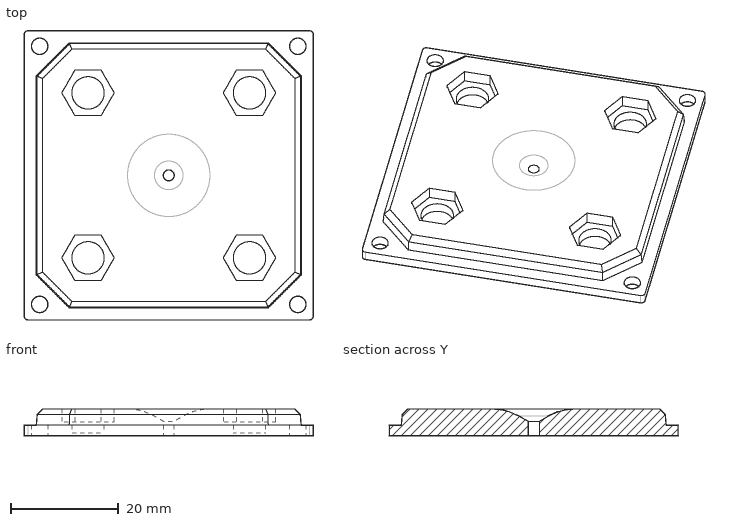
import cadquery as cq
import math

plate_side = 53.8
plate_thickness = 2.0
plate_corner_radius = 0.75
mount_hole_diameter = 3.0
mount_hole_offset = 24.0

total_height = 5.0
pad_side = 49.3
pad_corner_cut = 6.15
bevel_height = 1.0
wall_draft = 5
bevel_angle = 45

pocket_spacing_x = 30.0
pocket_spacing_y = 30.65
hex_across_flats = 8.45
hex_depth = 2.5
recess_diameter = 6.0
recess_floor_thickness = 0.5

drain_diameter = 2.0
cone_mouth_diameter = 5.3
cone_slope = math.radians(30)
flare_radius = 10.0


def make_plate():
    plate = cq.Workplane("XY").rect(plate_side, plate_side).extrude(plate_thickness)
    plate = plate.edges("|Z").fillet(plate_corner_radius)
    holes = (
        cq.Workplane("XY")
        .rect(2 * mount_hole_offset, 2 * mount_hole_offset, forConstruction=True)
        .vertices()
        .circle(mount_hole_diameter / 2)
        .extrude(plate_thickness)
    )
    return plate.cut(holes)


def make_pad():
    wall_height = total_height - plate_thickness - bevel_height
    pad = (
        cq.Workplane("XY", origin=(0, 0, plate_thickness))
        .sketch()
        .rect(pad_side, pad_side)
        .vertices()
        .chamfer(pad_corner_cut)
        .finalize()
        .extrude(wall_height, taper=wall_draft)
    )
    bevel = pad.faces(">Z").wires().toPending().extrude(bevel_height, taper=bevel_angle, combine=False)
    return pad.union(bevel)


def make_pockets():
    hex_across_corners = hex_across_flats / math.cos(math.pi / 6)
    hex_floor = total_height - hex_depth
    centres = [
        (side_x * pocket_spacing_x / 2, side_y * pocket_spacing_y / 2)
        for side_x in (-1, 1)
        for side_y in (-1, 1)
    ]
    hexagons = (
        cq.Workplane("XY", origin=(0, 0, hex_floor))
        .pushPoints(centres)
        .polygon(6, hex_across_corners)
        .extrude(hex_depth)
    )
    recesses = (
        cq.Workplane("XY", origin=(0, 0, recess_floor_thickness))
        .pushPoints(centres)
        .circle(recess_diameter / 2)
        .extrude(hex_floor - recess_floor_thickness)
    )
    return hexagons.union(recesses)


def make_funnel():
    drain_radius = drain_diameter / 2
    cone_radius = cone_mouth_diameter / 2
    mouth_radius = cone_radius + flare_radius * math.sin(cone_slope)
    flare_centre_z = total_height - flare_radius

    def flare_point(angle):
        return (
            mouth_radius - flare_radius * math.sin(angle),
            flare_centre_z + flare_radius * math.cos(angle),
        )

    cone_top = flare_point(cone_slope)
    cone_bottom_z = cone_top[1] - (cone_radius - drain_radius) * math.tan(cone_slope)
    return (
        cq.Workplane("XZ")
        .moveTo(0, 0)
        .lineTo(drain_radius, 0)
        .lineTo(drain_radius, cone_bottom_z)
        .lineTo(*cone_top)
        .threePointArc(flare_point(cone_slope / 2), flare_point(0))
        .lineTo(0, total_height)
        .close()
        .revolve(360, (0, 0, 0), (0, 1, 0))
    )


result = make_plate().union(make_pad()).cut(make_pockets()).cut(make_funnel())